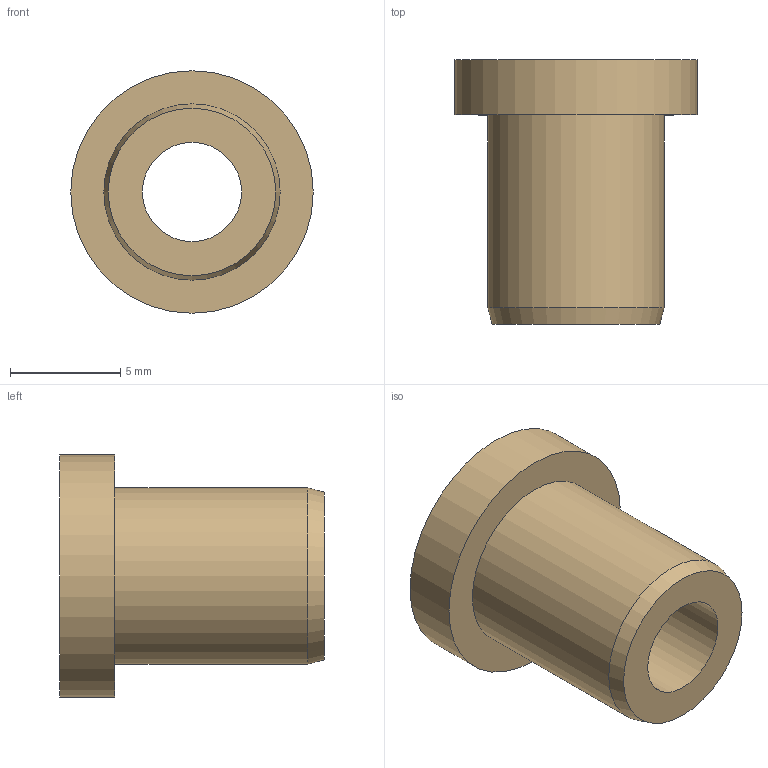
import cadquery as cq
import math

total_length = 12.0
flange_diameter = 11.0
flange_thickness = 2.5
body_diameter = 8.0
bore_diameter = 4.5

taper_length = 0.75
taper_angle = 15.0

flange_radius = flange_diameter / 2
body_radius = body_diameter / 2
bore_radius = bore_diameter / 2
tip_radius = body_radius - taper_length * math.tan(math.radians(taper_angle))
body_length = total_length - flange_thickness


def make_bush():
    """Revolve the half section about Y; Y = 0 is the flange seating face."""
    half_section = (
        cq.Workplane("XY")
        .moveTo(bore_radius, -body_length)
        .lineTo(tip_radius, -body_length)
        .lineTo(body_radius, taper_length - body_length)
        .lineTo(body_radius, 0)
        .lineTo(flange_radius, 0)
        .lineTo(flange_radius, flange_thickness)
        .lineTo(bore_radius, flange_thickness)
        .close()
    )
    return half_section.revolve(360, (0, 0, 0), (0, 1, 0))


result = make_bush()